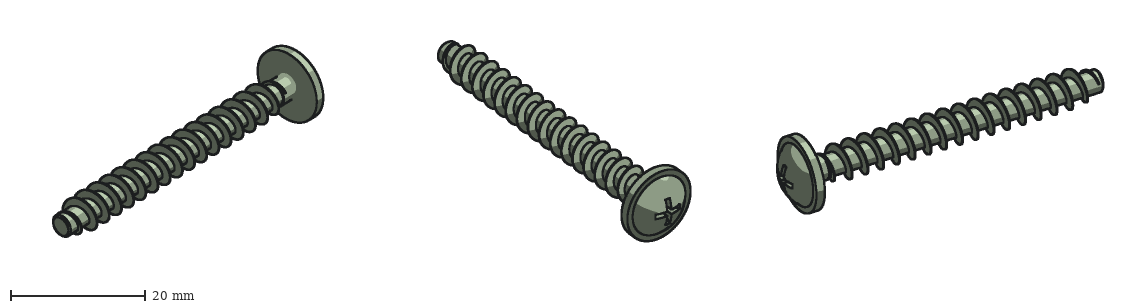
import cadquery as cq
import math


overall_length = 53.9

flange_diameter = 12.0
flange_radius = flange_diameter / 2
flange_thickness = 1.45
dome_radius = 5.0
head_height = 4.0
dome_rise = head_height - flange_thickness
sphere_radius = (dome_radius**2 + dome_rise**2) / (2 * dome_rise)

recess_diameter = 4.65
recess_floor_length = 1.2
recess_depth = 2.5
wing_width = 0.8

crown_loss = wing_width**2 / (4 * sphere_radius)
shank_length = overall_length - head_height + crown_loss
neck_radius = 2.05
neck_length = 2.9
neck_fillet = 0.65
core_diameter = 3.6
core_radius = core_diameter / 2
tip_chamfer = 0.25

crest_diameter = 6.0
crest_radius = crest_diameter / 2
crest_width = 0.15
root_width = 0.85
thread_turns = 17.5
thread_tip_y = -49.2
thread_head_y = -2.2
run_out_turns = 1.25
lead_in_turns = 1.25
full_turns = round(thread_turns - run_out_turns - lead_in_turns)
end_burial = 0.05
tip_crest_radius = core_radius - end_burial
head_crest_radius = neck_radius - end_burial
root_overlap = 0.2
points_per_turn = 24


def revolve_about_y(outline):
    return outline.close().revolve(360, (0, 0, 0), (0, 1, 0))


def make_body():
    """Domed flange head, filleted neck and chamfered core, turned as one profile."""
    half_arc = math.asin(dome_radius / sphere_radius) / 2
    dome_middle = (
        sphere_radius * math.sin(half_arc),
        head_height - sphere_radius * (1 - math.cos(half_arc)),
    )
    outline = (
        cq.Workplane("XY")
        .moveTo(0, head_height)
        .threePointArc(dome_middle, (dome_radius, flange_thickness))
        .lineTo(flange_radius, flange_thickness)
        .lineTo(flange_radius, 0)
        .lineTo(neck_radius + neck_fillet, 0)
        .radiusArc((neck_radius, -neck_fillet), -neck_fillet)
        .lineTo(neck_radius, -neck_length)
        .lineTo(core_radius, -neck_length)
        .lineTo(core_radius, tip_chamfer - shank_length)
        .lineTo(core_radius - tip_chamfer, -shank_length)
        .lineTo(0, -shank_length)
    )
    return revolve_about_y(outline)


def make_recess():
    """Two crossed wings whose ends slope in towards the recess floor."""
    rim_y = head_height - (recess_diameter / 2) ** 2 / (2 * sphere_radius)
    floor_y = head_height - recess_depth
    wing = (
        cq.Workplane("XY")
        .moveTo(-recess_diameter / 2, head_height)
        .lineTo(recess_diameter / 2, head_height)
        .lineTo(recess_diameter / 2, rim_y)
        .lineTo(recess_floor_length / 2, floor_y)
        .lineTo(-recess_floor_length / 2, floor_y)
        .lineTo(-recess_diameter / 2, rim_y)
        .close()
        .extrude(wing_width / 2, both=True)
    )
    return wing.union(wing.rotate((0, 0, 0), (0, 1, 0), 90))


def crest_radius_at(turn):
    """Full crest in the middle of the thread, falling linearly towards both of its ends."""
    tip_share = min(1, turn / run_out_turns)
    head_share = min(1, (thread_turns - turn) / lead_in_turns)
    return min(
        tip_crest_radius + (crest_radius - tip_crest_radius) * tip_share,
        head_crest_radius + (crest_radius - head_crest_radius) * head_share,
    )


def thread_corner(turn, on_crest, side):
    """Corner of the thread section after some turns; side is -1 for the tip flank, +1 for the head flank."""
    flank_slope = (root_width - crest_width) / 2 / (crest_radius - core_radius)
    root_radius = core_radius - root_overlap
    crest = crest_radius_at(turn)
    radius = crest if on_crest else root_radius
    half_width = crest_width / 2 + (crest - radius) * flank_slope
    angle = math.pi + 2 * math.pi * turn
    axial = thread_tip_y + (thread_head_y - thread_tip_y) * turn / thread_turns
    return (radius * math.cos(angle), axial + side * half_width, -radius * math.sin(angle))


def make_thread_piece(first_turn, last_turn):
    """Trapezoidal ridge between two turns, bounded by four helical faces and two flat ends."""
    section = [(False, -1), (True, -1), (True, 1), (False, 1)]
    point_count = math.ceil((last_turn - first_turn) * points_per_turn)
    turns = [first_turn + (last_turn - first_turn) * i / point_count for i in range(point_count + 1)]
    edges = []
    for corner in section:
        points = [cq.Vector(*thread_corner(turn, *corner)) for turn in turns]
        edges.append(cq.Edge.makeSpline(points))
    faces = [cq.Face.makeRuledSurface(edges[i - 1], edges[i]) for i in range(len(edges))]
    for turn in (first_turn, last_turn):
        corners = [cq.Vector(*thread_corner(turn, *corner)) for corner in section]
        faces.append(cq.Face.makeFromWires(cq.Wire.makePolygon(corners, close=True)))
    return cq.Workplane(cq.Solid.makeSolid(cq.Shell.makeShell(faces)))


def add_thread(body):
    """Run-out, full turns one by one, then lead-in, each starting where the last one ended."""
    joints = [0] + [run_out_turns + i for i in range(full_turns + 1)] + [thread_turns]
    for first_turn, last_turn in zip(joints, joints[1:]):
        body = body.union(make_thread_piece(first_turn, last_turn))
    return body


body = make_body().cut(make_recess())
result = add_thread(body)